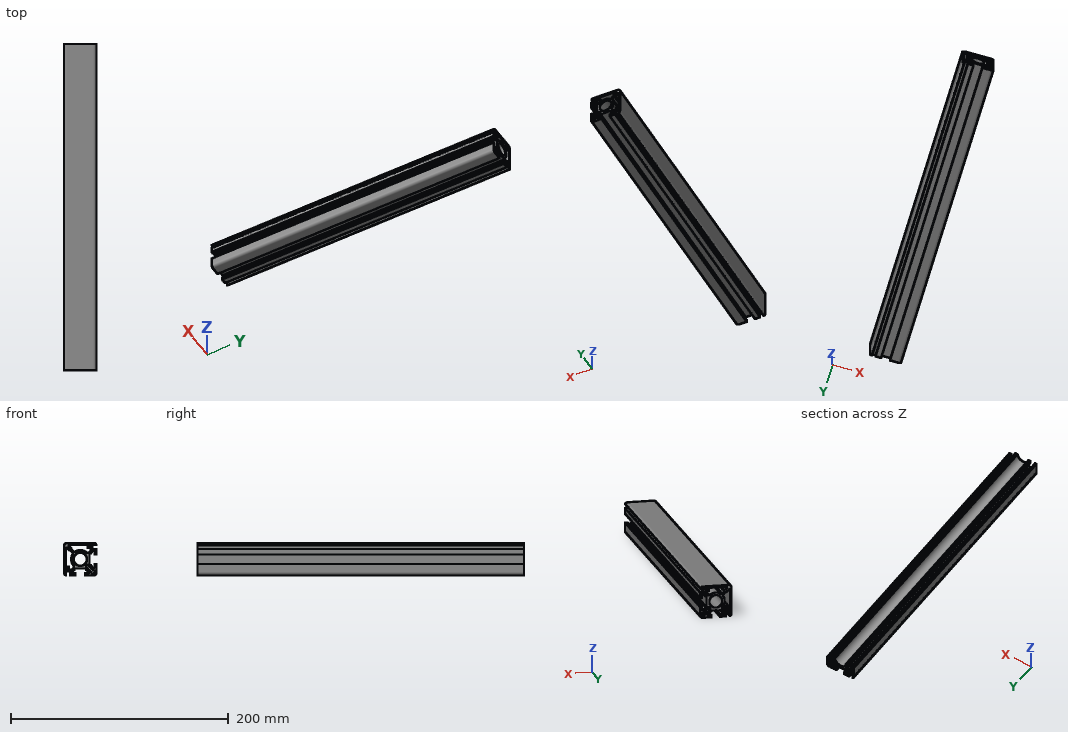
import cadquery as cq
import math

length = 300.0
width = 30.0
half = width / 2
outer_radius = 3.0
skin = 1.8
inner_face = half - skin
overrun = 3.0

bore_radius = 6.0
tube_radius = 8.5
tube_corner = 7.0

slot_mouth = 4.2
slot_wide = 7.8
lip_back = 13.0
slot_floor = 8.7
slot_floor_half = 5.0
slot_floor_edge = 9.5
slot_slope_end = 11.5

thick_web_offset = 1.8
thin_web_offset = 1.0
web_step = -8.0
cavity_end = -10.5
cavity_floor = 6.0
cavity_floor_end = 7.8
cavity_right = 9.5
tray_underside = 10.2
tray_left = 6.5

groove_bottom = 9.5
groove_back = 11.5
tongue_top = 12.5
tongue_back = 9.3
undercut_bottom = 12.0
undercut_back = 7.8

corner_start = 5.0
corner_offset = 1.8
corner_step = 10.5
corner_chamfer = 1.0


def mirror_point(point):
    """Reflect a section point across the diagonal x + z = 0."""
    x, z = point
    return (-z, -x)


def prism(profile):
    """Extrude a closed section profile over the full length."""
    return profile.close().extrude(length / 2, both=True)


def polygon(points):
    return prism(cq.Workplane("XZ").polyline(points))


def cut_mirrored(body, points):
    """Cut a polygon and its reflection across the diagonal."""
    reflected = [mirror_point(point) for point in points]
    return body.cut(polygon(points)).cut(polygon(reflected))


def on_tube(height):
    """Horizontal distance of the tube surface from its axis at a given height."""
    return math.sqrt(tube_radius**2 - height**2)


def long_cavity(place):
    """Cavity between a closed face and the tube; place maps each section point."""
    points = [
        (on_tube(cavity_floor), cavity_floor),
        (cavity_floor_end, cavity_floor),
        (cavity_right, slot_wide),
        (cavity_right, tray_underside),
        (tray_left, tray_underside),
        (tray_left, inner_face),
        (cavity_end, inner_face),
        (cavity_end, thick_web_offset - cavity_end),
        (web_step, thick_web_offset - web_step),
        (web_step, thin_web_offset - web_step),
        (thin_web_offset - tube_corner, tube_corner),
        (-on_tube(tube_corner), tube_corner),
    ]
    placed = [place(point) for point in points]
    outline = cq.Workplane("XZ").polyline(placed)
    return prism(outline.threePointArc(place((0, tube_radius)), placed[0]))


def keep_point(point):
    return point


body = cq.Workplane("XZ").rect(width, width).extrude(length / 2, both=True)
body = body.edges("|Y").fillet(outer_radius)

for place in (keep_point, mirror_point):
    body = body.cut(long_cavity(place))

slot_side = [
    (slot_floor, slot_floor_half),
    (slot_floor_edge, slot_floor_half),
    (slot_slope_end, slot_wide),
    (lip_back, slot_wide),
    (lip_back, slot_mouth),
    (half + overrun, slot_mouth),
]
opposite_side = [(x, -z) for x, z in reversed(slot_side)]
body = cut_mirrored(body, slot_side + opposite_side)

groove = [
    (half + overrun, groove_bottom),
    (groove_back, groove_bottom),
    (groove_back, tongue_top),
    (tongue_back, tongue_top),
    (tongue_back, undercut_bottom),
    (undercut_back, undercut_bottom),
    (undercut_back, inner_face),
    (half + overrun, inner_face),
]
body = cut_mirrored(body, groove)

corner_side = [
    (corner_start + corner_offset, -corner_start),
    (corner_step + corner_offset, -corner_step),
    (inner_face, -corner_step),
    (inner_face, corner_chamfer - inner_face),
]
corner_other_side = [mirror_point(point) for point in reversed(corner_side)]
body = body.cut(polygon(corner_side + corner_other_side))

tube = cq.Workplane("XZ").circle(tube_radius).extrude(length / 2, both=True)
bore = cq.Workplane("XZ").circle(bore_radius).extrude(length / 2, both=True)
result = body.union(tube).cut(bore)